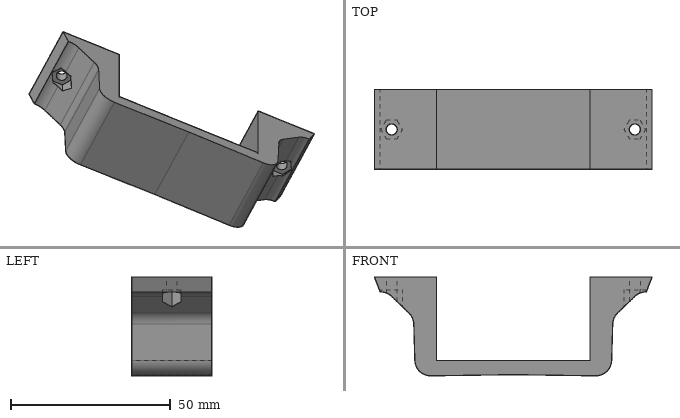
import cadquery as cq
import math

length = 86.9
depth = 25.0
inner_width = 48.0
inner_height = 26.1

lip_height = 4.7
lip_half_length = 41.6
brace_top_half_length = 39.5
brace_bottom_half_length = 31.2
brace_bottom_depth = 12.7
base_half_length = 30.7
corner_depth = 31.0
center_depth = 30.6
bend_radius = 5.0

hole_spacing = 76.1
hole_diameter = 3.4
nut_flats = 5.8
nut_corners = nut_flats / math.cos(math.pi / 6)
nut_ceiling_depth = 4.0


def bracket_body():
    """U-shaped strap with braced flanges and a slightly hollow underside."""
    left_outer = [
        (-length / 2, 0),
        (-lip_half_length, -lip_height),
        (-brace_top_half_length, -lip_height),
        (-brace_bottom_half_length, -brace_bottom_depth),
        (-base_half_length, -corner_depth),
    ]
    right_outer = [(-x, z) for x, z in reversed(left_outer)]
    inner = [
        (inner_width / 2, 0),
        (inner_width / 2, -inner_height),
        (-inner_width / 2, -inner_height),
        (-inner_width / 2, 0),
    ]
    outline = left_outer + [(0, -center_depth)] + right_outer + inner
    body = cq.Workplane("XZ").polyline(outline).close().extrude(depth / 2, both=True)

    rounded_corners = left_outer[2:] + right_outer[:-2]
    for x, z in rounded_corners:
        edge = cq.selectors.NearestToPointSelector((x, 0, z))
        body = body.edges("|Y").edges(edge).fillet(bend_radius)
    return body


def screw_cutter(x):
    """Through hole plus a nut pocket with corners pointing along X."""
    hole = cq.Workplane("XY").center(x, 0).circle(hole_diameter / 2).extrude(-corner_depth)
    pocket = (
        cq.Workplane("XY", origin=(x, 0, -nut_ceiling_depth))
        .polygon(6, nut_corners)
        .extrude(nut_ceiling_depth - corner_depth)
    )
    return hole.union(pocket)


result = bracket_body()
for hole_x in (-hole_spacing / 2, hole_spacing / 2):
    result = result.cut(screw_cutter(hole_x))